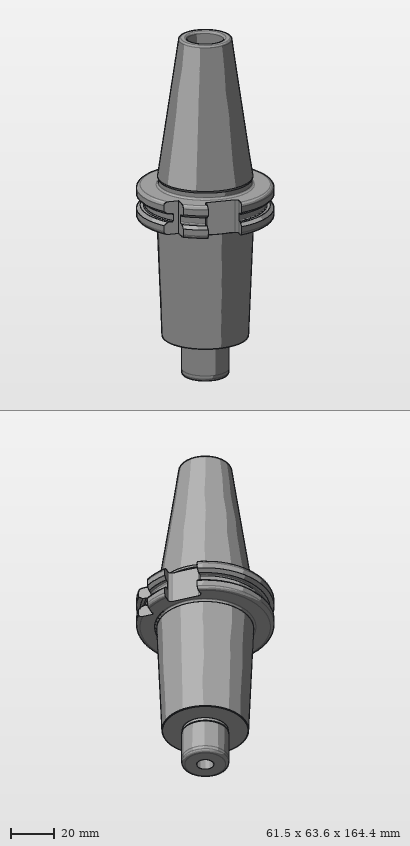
import cadquery as cq
import math

TOTAL_LENGTH = 164.4
PILOT_LENGTH = 18.9
FLANGE_BOTTOM = 76.8
FLANGE_TOP = 92.7
GAUGE_HEIGHT = 96.0
FLANGE_THICKNESS = FLANGE_TOP - FLANGE_BOTTOM
FLANGE_MIDDLE = (FLANGE_TOP + FLANGE_BOTTOM) / 2

PILOT_RADIUS = 11.0
PILOT_TIP_ROUND = 1.5
PILOT_LEAD_LENGTH = 3.0
PILOT_LEAD_STEP = 0.2
PILOT_RELIEF_DEPTH = 0.3
PILOT_RELIEF_LENGTH = 1.5
PILOT_RELIEF_CHAMFER = 0.7

BODY_BOTTOM_RADIUS = 20.0
BODY_TOP_RADIUS = 44.9 / 2
BODY_EDGE_CHAMFER = 0.3

SLOT_WIDTH = 16.1
SLOT_CORNER_FILLET = 1.5
SLOT_FLOOR_LEFT = 22.9
SLOT_FLOOR_RIGHT = 25.0
NOTCH_OFFSET = 18.5

FLANGE_WIDTH_AT_SLOTS = 61.5
FLANGE_RADIUS = math.hypot(FLANGE_WIDTH_AT_SLOTS / 2, SLOT_WIDTH / 2)
FLANGE_EDGE_ROUND = 1.6
FLANGE_ROOT_FILLET = 1.0
GROOVE_FLOOR_RADIUS = 28.1
GROOVE_STEP_RADIUS = 30.1
GROOVE_MOUTH_WIDTH = 6.9
GROOVE_FLOOR_WIDTH = 4.0
GROOVE_FLOOR_FILLET = 0.5

TAPER_RATIO = 7 / 24
GAUGE_RADIUS = 22.2
TAPER_TIP_ROUND = 1.0
NECK_RADIUS = 21.7
NECK_TOP = 95.8
TAPER_BOTTOM = 96.8

MOUTH_ROUND = 1.0
COUNTERBORE_RADIUS = 8.5
COUNTERBORE_DEPTH = 8.7
THREAD_RADIUS = 8.0
THREAD_DEPTH = 29.6
CORE_RADIUS = 6.9
CORE_DEPTH = 32.9
DRILL_POINT_HALF_ANGLE = math.radians(59)
THROUGH_RADIUS = 4.0


def revolve_profile(points):
    """Turn a closed outline of (radius, height) points about the Z axis."""
    return cq.Workplane("XZ").polyline(points).close().revolve(360, (0, 0, 0), (0, 1, 0))


def taper_radius(height):
    return GAUGE_RADIUS - (height - GAUGE_HEIGHT) * TAPER_RATIO / 2


def make_pilot():
    relief_radius = PILOT_RADIUS - PILOT_RELIEF_DEPTH
    relief_bottom = PILOT_LENGTH - PILOT_RELIEF_LENGTH
    pilot = revolve_profile([
        (0, 0),
        (PILOT_RADIUS - PILOT_LEAD_STEP, 0),
        (PILOT_RADIUS, PILOT_LEAD_LENGTH),
        (PILOT_RADIUS, relief_bottom - PILOT_RELIEF_CHAMFER),
        (relief_radius, relief_bottom),
        (relief_radius, PILOT_LENGTH),
        (0, PILOT_LENGTH),
    ])
    return pilot.faces("<Z").edges().fillet(PILOT_TIP_ROUND)


def make_body():
    return revolve_profile([
        (0, PILOT_LENGTH),
        (BODY_BOTTOM_RADIUS - BODY_EDGE_CHAMFER, PILOT_LENGTH),
        (BODY_BOTTOM_RADIUS, PILOT_LENGTH + BODY_EDGE_CHAMFER),
        (BODY_TOP_RADIUS, FLANGE_BOTTOM),
        (0, FLANGE_BOTTOM),
    ])


def make_taper():
    taper = revolve_profile([
        (0, FLANGE_TOP),
        (NECK_RADIUS, FLANGE_TOP),
        (NECK_RADIUS, NECK_TOP),
        (taper_radius(TAPER_BOTTOM), TAPER_BOTTOM),
        (taper_radius(TOTAL_LENGTH), TOTAL_LENGTH),
        (0, TOTAL_LENGTH),
    ])
    return taper.faces(">Z").edges().fillet(TAPER_TIP_ROUND)


def make_flange_blank():
    return (
        cq.Workplane("XY", origin=(0, 0, FLANGE_BOTTOM))
        .circle(FLANGE_RADIUS)
        .extrude(FLANGE_THICKNESS)
        .edges()
        .fillet(FLANGE_EDGE_ROUND)
    )


def make_root_fillet(shaft_radius, flange_face, direction):
    """Ring that rounds the corner between a flange face and the shaft; direction is 1 above, -1 below."""
    tip_radius = shaft_radius + FLANGE_ROOT_FILLET
    tip_height = flange_face + direction * FLANGE_ROOT_FILLET
    inset = FLANGE_ROOT_FILLET * (1 - math.sqrt(0.5))
    return (
        cq.Workplane("XZ")
        .moveTo(0, flange_face)
        .lineTo(tip_radius, flange_face)
        .threePointArc((shaft_radius + inset, flange_face + direction * inset), (shaft_radius, tip_height))
        .lineTo(0, tip_height)
        .close()
        .revolve(360, (0, 0, 0), (0, 1, 0))
    )


def make_gripper_groove():
    """Ring with flared mouth, square step and rounded floor corners."""
    half_mouth = GROOVE_MOUTH_WIDTH / 2
    half_floor = GROOVE_FLOOR_WIDTH / 2
    ring = revolve_profile([
        (GROOVE_FLOOR_RADIUS, FLANGE_MIDDLE - half_floor),
        (GROOVE_STEP_RADIUS, FLANGE_MIDDLE - half_floor),
        (FLANGE_RADIUS, FLANGE_MIDDLE - half_mouth),
        (FLANGE_RADIUS, FLANGE_MIDDLE + half_mouth),
        (GROOVE_STEP_RADIUS, FLANGE_MIDDLE + half_floor),
        (GROOVE_FLOOR_RADIUS, FLANGE_MIDDLE + half_floor),
    ])
    floor_corners = ring.edges(cq.selectors.RadiusNthSelector(0))
    return floor_corners.fillet(GROOVE_FLOOR_FILLET)


def make_drive_slot(side, floor_distance):
    """Slot open to +X (side = 1) or -X (side = -1), through the flange and its lower root fillet."""
    inner_edges = "|Z and <X" if side > 0 else "|Z and >X"
    centre_x = side * (floor_distance + FLANGE_RADIUS / 2)
    return (
        cq.Workplane("XY", origin=(centre_x, 0, FLANGE_BOTTOM - FLANGE_ROOT_FILLET))
        .rect(FLANGE_RADIUS, SLOT_WIDTH)
        .extrude(FLANGE_ROOT_FILLET + FLANGE_THICKNESS)
        .edges(inner_edges)
        .fillet(SLOT_CORNER_FILLET)
    )


def make_notch():
    """Square cut through the flange in its +X, -Y corner."""
    return (
        cq.Workplane("XY", origin=(NOTCH_OFFSET, -NOTCH_OFFSET, FLANGE_BOTTOM))
        .rect(FLANGE_RADIUS, -FLANGE_RADIUS, centered=False)
        .extrude(FLANGE_THICKNESS)
    )


def make_bore():
    counterbore_floor = TOTAL_LENGTH - COUNTERBORE_DEPTH
    thread_bottom = TOTAL_LENGTH - THREAD_DEPTH
    core_bottom = TOTAL_LENGTH - CORE_DEPTH
    drill_point = (CORE_RADIUS - THROUGH_RADIUS) / math.tan(DRILL_POINT_HALF_ANGLE)
    return revolve_profile([
        (0, 0),
        (THROUGH_RADIUS, 0),
        (THROUGH_RADIUS, core_bottom - drill_point),
        (CORE_RADIUS, core_bottom),
        (CORE_RADIUS, thread_bottom),
        (THREAD_RADIUS, thread_bottom),
        (THREAD_RADIUS, counterbore_floor),
        (COUNTERBORE_RADIUS, counterbore_floor),
        (COUNTERBORE_RADIUS, TOTAL_LENGTH),
        (0, TOTAL_LENGTH),
    ])


flange = (
    make_flange_blank()
    .union(make_root_fillet(NECK_RADIUS, FLANGE_TOP, 1))
    .union(make_root_fillet(BODY_TOP_RADIUS, FLANGE_BOTTOM, -1))
    .cut(make_gripper_groove())
    .cut(make_drive_slot(-1, SLOT_FLOOR_LEFT))
    .cut(make_drive_slot(1, SLOT_FLOOR_RIGHT))
    .cut(make_notch())
)

holder = make_pilot().union(make_body()).union(flange).union(make_taper()).cut(make_bore())

result = holder.faces(">Z").edges(cq.selectors.RadiusNthSelector(0)).fillet(MOUTH_ROUND)